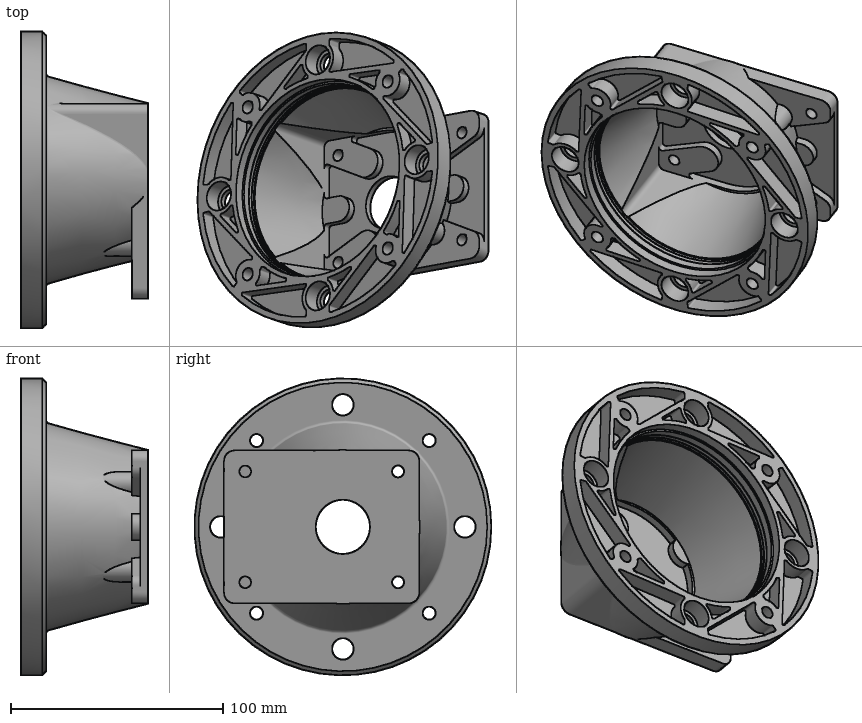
import cadquery as cq
import math


flange_diameter = 140.0
flange_thickness = 12.0
flange_chamfer = 2.0
bolt_circle_radius = 57.5
through_hole_diameter = 10.0
counterbore_diameter = 14.0
counterbore_depth = 9.0
small_hole_diameter = 6.0
quadrant_count = 4
quadrant_angle = 360.0 / quadrant_count
octant_angle = quadrant_angle / 2

pocket_depth = 8.0
pocket_outer_radius = 67.0
pocket_inner_radius = 49.8
through_hole_land_radius = 9.0
small_hole_land_radius = 7.0
pocket_corner_radius = 0.8
flat_rib_angle = 2.1
flat_rib_outer_distance = 50.7
flat_rib_inner_distance = 48.3
steep_rib_angle = 46.0
steep_rib_outer_distance = 50.1
steep_rib_inner_distance = 47.6
flat_outer_span = (6.6, 60.0)
flat_inner_span = (10.0, 39.4)
steep_outer_span = (47.7, 83.4)
steep_inner_span = (50.0, 90.0)

overall_length = 60.0
plate_thickness = 7.7
body_half_width = 36.0
plate_lower_edge = -56.0
plate_corner_radius = 5.0
plate_front = overall_length - plate_thickness
plate_center = (body_half_width + plate_lower_edge) / 2
recess_floor_thickness = 3.7
recess_floor = overall_length - recess_floor_thickness
shaft_hole_diameter = 25.4
plate_hole_diameter = 5.5
plate_hole_half_pitch_y = 36.0
plate_hole_half_pitch_z = 26.1

boss_half_pitch_y = 19.9
boss_half_pitch_z = 20.0
boss_radius = 6.0
pad_radius = 7.0
pad_angle = 25.0
pad_length = 40.0
middle_pad_radius = 6.2
inner_middle_pad_y = 25.7
outer_middle_pad_y = -40.8
recess_corner_radius = 1.5

cone_half_angle = 15.0
cone_end_radius = 36.25
cone_slope = math.tan(math.radians(cone_half_angle))
cone_wall = 3.1
blend_radius = 1.5
box_wall = 2.0
inner_half_width = body_half_width - box_wall
inner_corner_radius = plate_corner_radius - box_wall

bore_diameter = 95.0
bore_depth = 5.0
second_bore_diameter = 93.0
second_bore_end = 12.8
groove_diameter = 93.4
groove_start = 9.0
groove_end = 11.3

tolerance = 0.01


def cylinder(radius, start, end, y=0.0, z=0.0):
    return cq.Workplane("YZ", origin=(start, y, z)).circle(radius).extrude(end - start)


def block(y_min, y_max, half_width, start, end):
    center = (start, (y_min + y_max) / 2, 0)
    return cq.Workplane("YZ", origin=center).rect(y_max - y_min, 2 * half_width).extrude(end - start)


def outer_cone_radius(x):
    return cone_end_radius + (overall_length - x) * cone_slope


def cone(start, end, wall=0.0):
    profile = [
        (start, 0),
        (start, outer_cone_radius(start) - wall),
        (end, outer_cone_radius(end) - wall),
        (end, 0),
    ]
    return cq.Workplane("XY").polyline(profile).close().revolve(360, (0, 0, 0), (1, 0, 0))


def on_bolt_circle(angle):
    turn = math.radians(angle)
    return bolt_circle_radius * math.cos(turn), bolt_circle_radius * math.sin(turn)


def make_flange():
    disc = cylinder(flange_diameter / 2, 0, flange_thickness)
    return disc.faces(">X").edges().chamfer(flange_chamfer)


def make_shell():
    """Cone with a square-cornered body standing proud of it on the +Y side."""
    box = block(0, body_half_width, body_half_width, flange_thickness, overall_length)
    box = box.edges("|X and >Y").fillet(plate_corner_radius)
    shell = cone(flange_thickness, overall_length).union(box)
    return shell.edges("%HYPERBOLA or %BSPLINE").fillet(blend_radius)


def make_blended_body():
    """Flange and shell, with a fillet round the base of the cone."""
    body = make_flange().union(make_shell())
    base_reach = outer_cone_radius(flange_thickness) + tolerance
    base_region = cq.selectors.BoxSelector(
        (flange_thickness - tolerance, -base_reach, -base_reach),
        (flange_thickness + tolerance, base_reach, base_reach),
        boundingbox=True,
    )
    return body.edges(base_region).fillet(blend_radius)


def make_plate():
    """Mounting plate, thinned from the front between its corner pads on the -Y side."""
    plate = block(plate_lower_edge, body_half_width, body_half_width, plate_front, overall_length)
    plate = plate.edges("|X").fillet(plate_corner_radius)
    return plate.cut(make_outer_recess())


def make_outer_recess():
    """Recess open at the -Y edge, bounded by the lower sides of the two corner pads there."""
    turn = math.radians(pad_angle)
    normal_y = -math.sin(turn)
    normal_z = -math.cos(turn)
    boss_y = plate_center - boss_half_pitch_y
    arc_y = plate_lower_edge + plate_corner_radius
    arc_offset = pad_radius - plate_corner_radius
    arc_z = boss_half_pitch_z + (arc_offset - (arc_y - boss_y) * normal_y) / normal_z
    middle = (math.pi / 2 - turn) / 2
    arc_middle = (
        arc_y - plate_corner_radius * math.cos(middle),
        arc_z - plate_corner_radius * math.sin(middle),
    )
    arc_end = (arc_y + plate_corner_radius * normal_y, arc_z + plate_corner_radius * normal_z)
    tangent = (boss_y + pad_radius * normal_y, boss_half_pitch_z + pad_radius * normal_z)
    recess = (
        cq.Workplane("YZ", origin=(plate_front, 0, 0))
        .moveTo(plate_lower_edge, -arc_z)
        .lineTo(plate_lower_edge, arc_z)
        .threePointArc(arc_middle, arc_end)
        .lineTo(*tangent)
        .lineTo(tangent[0], -tangent[1])
        .lineTo(arc_end[0], -arc_end[1])
        .threePointArc((arc_middle[0], -arc_middle[1]), (plate_lower_edge, -arc_z))
        .close()
        .extrude(recess_floor - plate_front)
    )
    return recess.cut(middle_pad(outer_middle_pad_y, boss_y))


def make_bosses():
    bosses = cq.Workplane("YZ")
    for side in (-1, 1):
        boss = cylinder(
            boss_radius, flange_thickness, plate_front,
            plate_center - boss_half_pitch_y, side * boss_half_pitch_z,
        )
        bosses = bosses.union(boss)
    return bosses


def u_prism(start, end):
    """Half-round prism on the -Y side joined to a square one on the +Y side."""
    box = block(0, inner_half_width, inner_half_width, start, end)
    box = box.edges("|X and >Y").fillet(inner_corner_radius)
    return box.union(cylinder(inner_half_width, start, end))


def on_square_wall(edge):
    center = edge.Center()
    on_end_wall = abs(center.y - inner_half_width) < tolerance
    on_side_wall = abs(abs(center.z) - inner_half_width) < tolerance and center.y > tolerance
    return on_end_wall or on_side_wall


def corner_pad(side, direction):
    """Pad running from a boss out towards a plate corner."""
    bar = block(0, pad_length, pad_radius, plate_front, recess_floor)
    pad = bar.union(cylinder(pad_radius, plate_front, recess_floor))
    tilt = pad_angle if direction > 0 else 180 - pad_angle
    pad = pad.rotate((0, 0, 0), (1, 0, 0), side * tilt)
    return pad.translate((0, plate_center + direction * boss_half_pitch_y, side * boss_half_pitch_z))


def middle_pad(round_end_y, far_y):
    """Pad on the plate's centre line, rounded about one end."""
    y_min, y_max = sorted((round_end_y, far_y))
    bar = block(y_min, y_max, middle_pad_radius, plate_front, recess_floor)
    return bar.union(cylinder(middle_pad_radius, plate_front, recess_floor, round_end_y))


def make_inner_recess():
    """Recess in the cavity floor that leaves the pads standing."""
    recess = u_prism(plate_front, recess_floor)
    for side in (-1, 1):
        for direction in (-1, 1):
            recess = recess.cut(corner_pad(side, direction))
    recess = recess.cut(middle_pad(inner_middle_pad_y, body_half_width))
    return recess.edges("|X").filter(on_square_wall).fillet(recess_corner_radius)


def make_cavity():
    cavity = cylinder(bore_diameter / 2, 0, bore_depth)
    cavity = cavity.union(cylinder(second_bore_diameter / 2, 0, second_bore_end))
    cavity = cavity.union(cylinder(groove_diameter / 2, groove_start, groove_end))
    cavity = cavity.union(cone(second_bore_end, plate_front, cone_wall))
    cavity = cavity.union(u_prism(second_bore_end, plate_front))
    return cavity.union(make_inner_recess())


def half_plane(distance, normal_angle, outward):
    """Large slab on one side of a line at a given distance from the axis."""
    size = flange_diameter
    near = distance if outward else distance - size
    slab = cq.Workplane("YZ").center(near + size / 2, 0).rect(size, 2 * size).extrude(pocket_depth)
    return slab.rotate((0, 0, 0), (1, 0, 0), normal_angle)


def sector(start_angle, end_angle):
    reach = flange_diameter
    corners = [(0, 0)]
    for angle in (start_angle, end_angle):
        turn = math.radians(angle)
        corners.append((reach * math.cos(turn), reach * math.sin(turn)))
    return cq.Workplane("YZ").polyline(corners).close().extrude(pocket_depth)


def rounded_pocket(core, land_radius, hole_angle):
    """Cut a hole land from an inset core and grow its outline back with round corners."""
    land = cylinder(land_radius + pocket_corner_radius, 0, pocket_depth, *on_bolt_circle(hole_angle))
    outline = core.cut(land).faces("<X").wires().val()
    grown = cq.Workplane("YZ").newObject([outline]).toPending().offset2D(pocket_corner_radius, "arc")
    return grown.extrude(pocket_depth)


def outer_pocket(line_distance, line_angle, span, land_radius, hole_angle):
    """Pocket between a rib and the rim."""
    core = cylinder(pocket_outer_radius - pocket_corner_radius, 0, pocket_depth)
    core = core.intersect(half_plane(line_distance + pocket_corner_radius, line_angle, True))
    core = core.intersect(sector(*span))
    return rounded_pocket(core, land_radius, hole_angle)


def inner_pocket(line_distance, line_angle, span, land_radius, hole_angle):
    """Pocket between a rib and the bore wall."""
    core = sector(*span).intersect(half_plane(line_distance - pocket_corner_radius, line_angle, False))
    core = core.cut(cylinder(pocket_inner_radius + pocket_corner_radius, 0, pocket_depth))
    return rounded_pocket(core, land_radius, hole_angle)


def make_flange_pockets():
    quadrant = [
        outer_pocket(
            flat_rib_outer_distance, flat_rib_angle, flat_outer_span,
            through_hole_land_radius, 0,
        ),
        inner_pocket(
            flat_rib_inner_distance, flat_rib_angle, flat_inner_span,
            small_hole_land_radius, octant_angle,
        ),
        outer_pocket(
            steep_rib_outer_distance, steep_rib_angle, steep_outer_span,
            small_hole_land_radius, octant_angle,
        ),
        inner_pocket(
            steep_rib_inner_distance, steep_rib_angle, steep_inner_span,
            through_hole_land_radius, quadrant_angle,
        ),
    ]
    pockets = cq.Workplane("YZ")
    for quarter in range(quadrant_count):
        for pocket in quadrant:
            pockets = pockets.union(pocket.rotate((0, 0, 0), (1, 0, 0), quarter * quadrant_angle))
    return pockets


def make_holes():
    holes = cylinder(shaft_hole_diameter / 2, 0, overall_length)
    for quarter in range(quadrant_count):
        main = on_bolt_circle(quarter * quadrant_angle)
        small = on_bolt_circle(quarter * quadrant_angle + octant_angle)
        holes = holes.union(cylinder(through_hole_diameter / 2, 0, flange_thickness, *main))
        holes = holes.union(cylinder(counterbore_diameter / 2, 0, counterbore_depth, *main))
        holes = holes.union(cylinder(small_hole_diameter / 2, 0, flange_thickness, *small))
    for side in (-1, 1):
        for direction in (-1, 1):
            y = plate_center + direction * plate_hole_half_pitch_y
            z = side * plate_hole_half_pitch_z
            holes = holes.union(cylinder(plate_hole_diameter / 2, plate_front, overall_length, y, z))
    return holes


body = make_blended_body().union(make_plate()).union(make_bosses())
result = body.cut(make_cavity()).cut(make_flange_pockets()).cut(make_holes())